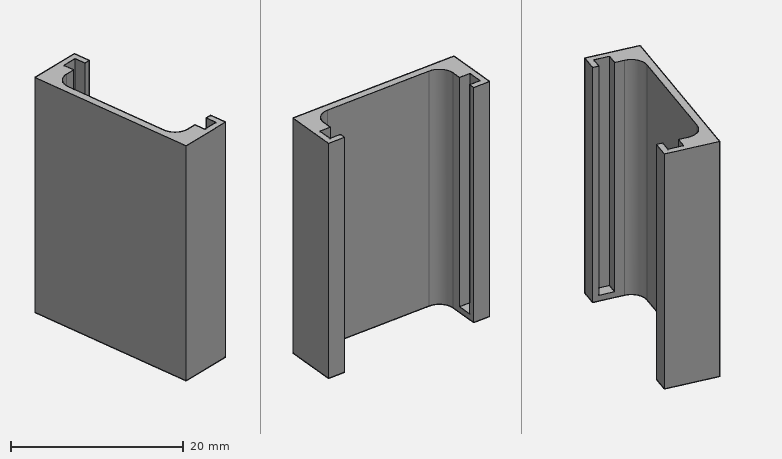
import cadquery as cq

width = 23.2
depth = 7.0
height = 32.0

side_wall = 2.3
back_plate = 1.0
inner_radius = 2.0

groove_skin = 0.8
groove_lip = 0.8
groove_width = 2.0
groove_floor = 0.8
groove_depth = side_wall - groove_skin
groove_height = height - groove_floor

open_face = depth / 2
inner_width = width - 2 * side_wall


def make_channel():
    """Full-height U channel, open toward +Y, with rounded inner corners."""
    block = cq.Workplane("XY").box(width, depth, height, centered=(True, True, False))
    cavity = (
        cq.Workplane("XY")
        .box(inner_width, depth, height, centered=(True, False, False))
        .edges("|Z and <Y")
        .fillet(inner_radius)
        .translate((0, back_plate - depth / 2, 0))
    )
    return block.cut(cavity)


def make_groove(side):
    """Groove cutter, open at the top; side is -1 for the -X wall and +1 for the +X wall."""
    center_x = side * (inner_width + groove_depth) / 2
    center_y = open_face - groove_lip - groove_width / 2
    return (
        cq.Workplane("XY")
        .box(groove_depth, groove_width, groove_height, centered=(True, True, False))
        .translate((center_x, center_y, groove_floor))
    )


result = make_channel()
for side in (-1, 1):
    result = result.cut(make_groove(side))